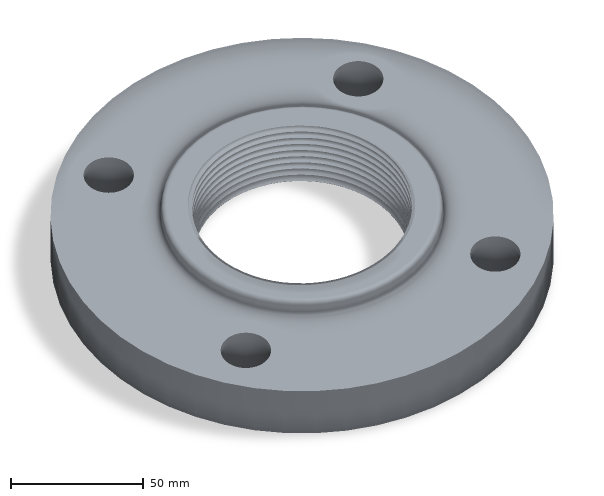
import cadquery as cq
import math

total_height = 30.04
raised_face_height = 1.6
flange_top = 24.0

flange_diameter = 190.5
raised_face_diameter = 127.0

bolt_hole_count = 4
bolt_hole_diameter = 19.05
bolt_circle_diameter = 152.4

hub_base_diameter = 108.0
hub_draft = 10.0
hub_top_fillet = 2.0
hub_root_fillet = 1.5

inch = 25.4
threads_per_inch = 8
thread_pitch = inch / threads_per_inch
thread_depth = 0.8 * thread_pitch
thread_flat = 0.038 * thread_pitch
taper_on_diameter = 1 / 16
thread_taper = math.atan(taper_on_diameter / 2)
crest_radius_at_top = 41.76
thread_overrun = thread_pitch
groove_angle_at_top = 270.0
bore_seam_angle = 180.0
groove_mouth_relief = 0.05


def crest_radius(z):
    """Radius of the tapered bore at height z."""
    return crest_radius_at_top - (total_height - z) * math.tan(thread_taper)


def make_body():
    """Raised face, flange disc and drafted hub as one turned solid."""
    hub_base_radius = hub_base_diameter / 2
    hub_height = total_height - flange_top
    hub_top_radius = hub_base_radius - hub_height * math.tan(math.radians(hub_draft))
    profile = (
        cq.Workplane("XZ")
        .lineTo(raised_face_diameter / 2, 0)
        .lineTo(raised_face_diameter / 2, raised_face_height)
        .lineTo(flange_diameter / 2, raised_face_height)
        .lineTo(flange_diameter / 2, flange_top)
        .lineTo(hub_base_radius, flange_top)
        .lineTo(hub_top_radius, total_height)
        .lineTo(0, total_height)
        .close()
    )
    body = profile.revolve(360, (0, 0, 0), (0, 1, 0))
    hub_root_edge = cq.selectors.RadiusNthSelector(1)
    body = body.edges(hub_root_edge).fillet(hub_root_fillet)
    body = body.edges(">Z").fillet(hub_top_fillet)
    return body


def make_bolt_holes():
    """Plain through holes on the bolt circle, the first one on +X."""
    return (
        cq.Workplane("XY")
        .polarArray(bolt_circle_diameter / 2, 0, 360, bolt_hole_count)
        .circle(bolt_hole_diameter / 2)
        .extrude(total_height)
    )


def make_bore():
    """Tapered bore through the thread crests, with its seam turned to -X."""
    bore = (
        cq.Workplane("XZ")
        .lineTo(crest_radius(0), 0)
        .lineTo(crest_radius_at_top, total_height)
        .lineTo(0, total_height)
        .close()
        .revolve(360, (0, 0, 0), (0, 1, 0))
    )
    return bore.rotate((0, 0, 0), (0, 0, 1), bore_seam_angle)


def make_thread_groove():
    """Truncated V groove swept along a tapered helix."""
    start_z = -thread_overrun
    length = total_height + 2 * thread_overrun
    start_radius = crest_radius(start_z)
    helix = cq.Wire.makeHelix(
        thread_pitch, length, start_radius,
        center=cq.Vector(0, 0, start_z), angle=math.degrees(thread_taper),
    )
    flank_slope = (thread_pitch / 2 - thread_flat) / thread_depth
    root_half = thread_flat / 2
    mouth_half = root_half + flank_slope * (thread_depth + groove_mouth_relief)
    mouth_radius = start_radius - groove_mouth_relief
    root_radius = start_radius + thread_depth
    profile = (
        cq.Workplane("XZ")
        .moveTo(mouth_radius, start_z - mouth_half)
        .lineTo(root_radius, start_z - root_half)
        .lineTo(root_radius, start_z + root_half)
        .lineTo(mouth_radius, start_z + mouth_half)
        .close()
    )
    groove = profile.sweep(cq.Workplane(helix), isFrenet=True)
    turns_to_top = (total_height - start_z) / thread_pitch
    return groove.rotate((0, 0, 0), (0, 0, 1), groove_angle_at_top - 360 * turns_to_top)


flange = make_body().cut(make_bolt_holes())
result = flange.cut(make_thread_groove()).cut(make_bore())